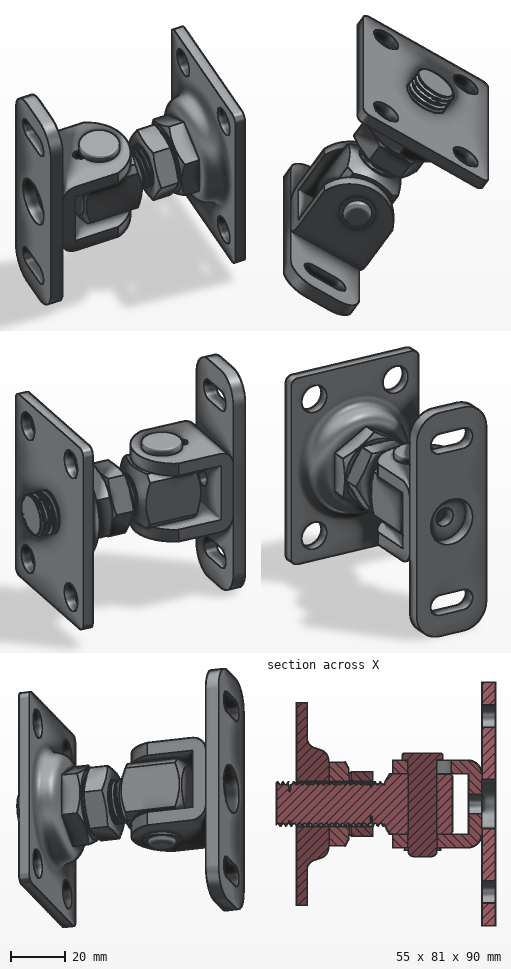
import cadquery as cq
import math

OVERALL_LENGTH = 81.0

STRIP_WIDTH = 30.1
STRIP_LENGTH = 90.0
STRIP_THICKNESS = 5.0
STRIP_CORNER_RADIUS = 10.0
STRIP_SLOT_LENGTH = 18.0
STRIP_SLOT_WIDTH = 8.1
STRIP_SLOT_SPACING = 65.0
STRIP_BORE_DIAMETER = 18.0

STRAP_THICKNESS = 5.0
CLEVIS_INNER_GAP = 22.3
CLEVIS_BEND_RADIUS = 0.4
CLEVIS_SIDE_END_Y = 27.7
CLEVIS_TIP_Y = 38.1
CLEVIS_WEB_HOLE_DIAMETER = 7.2
KEYWAY_WIDTH = 4.5
KEYWAY_END_OFFSET = 8.3

PIN_AXIS_Y = 27.0
PIN_RADIUS = 5.4
PIN_HEAD_RADIUS = 7.6
PIN_HEAD_HEIGHT = 2.6
PIN_HEAD_FILLET = 0.9
PIN_TAIL_LENGTH = 3.3
PIN_TAIL_FILLET = 2.25
RING_RADIUS = 6.75
RING_THICKNESS = 0.9

EYE_SIZE = CLEVIS_INNER_GAP
EYE_EDGE_CHAMFER = 2.5
EYE_FRONT_Y = 15.9
EYE_BACK_Y = 41.0
EYE_FRONT_FACE_RADIUS = 10.2
EYE_BACK_FACE_RADIUS = 8.0
EYE_CONE_ANGLE = 30.0
THREAD_ROOT_RADIUS = 7.2
THREAD_CREST_RADIUS = 8.3
THREAD_TURNS = 20
THREAD_TOOTH_BASE = 1.8
THREAD_EMBED = 0.2

HEX_SIDES = 6
LOCK_NUT_ACROSS_FLATS = 23.9
LOCK_NUT_CORNER_ANGLE = 0.0
LOCK_NUT_FACE_RADIUS = 11.8
LOCK_NUT_CHAMFER_ANGLE = 15.0
LOCK_NUT_THICKNESS = 8.1
LOCK_NUT_FRONT_Y = 45.3
WASHER_RADIUS = 11.5
WASHER_THICKNESS = 0.8
BASE_NUT_ACROSS_FLATS = 27.0
BASE_NUT_CORNER_ANGLE = 90.0
BASE_NUT_FACE_RADIUS = 13.1
BASE_NUT_CHAMFER_ANGLE = 30.0

BASE_WIDTH = 55.0
BASE_LENGTH = 75.0
BASE_THICKNESS = 4.05
BASE_FRONT_Y = 69.6
BASE_CORNER_RADIUS = 3.0
BASE_HOLE_DIAMETER = 10.7
BASE_HOLE_SPACING_X = 35.0
BASE_HOLE_SPACING_Z = 55.0
DOME_HEIGHT = 8.0
DOME_BASE_RADIUS = 21.7
DOME_TOP_RADIUS = 19.2
DOME_BASE_FILLET = 3.7
DOME_TOP_FILLET = 4.6

CLEVIS_HALF_HEIGHT = CLEVIS_INNER_GAP / 2 + STRAP_THICKNESS
CLEVIS_BACK_OF_WEB_Y = STRIP_THICKNESS + STRAP_THICKNESS
STUD_LENGTH = OVERALL_LENGTH - EYE_BACK_Y
THREAD_PITCH = STUD_LENGTH / THREAD_TURNS
WASHER_FRONT_Y = LOCK_NUT_FRONT_Y + LOCK_NUT_THICKNESS
BASE_NUT_FRONT_Y = WASHER_FRONT_Y + WASHER_THICKNESS
DOME_TOP_Y = BASE_FRONT_Y - DOME_HEIGHT
BASE_NUT_THICKNESS = DOME_TOP_Y - BASE_NUT_FRONT_Y


def facing_back(y):
    """Workplane across the long axis at y; local x is -X, local y is Z and extrusion runs toward +Y."""
    return cq.Workplane(cq.Plane(origin=(0, y, 0), xDir=(-1, 0, 0), normal=(0, 1, 0)))


def level(z):
    """Workplane across the pin axis at height z."""
    return cq.Workplane("XY", origin=(0, PIN_AXIS_Y, z))


def turned(profile):
    """Solid of revolution about the Y axis from (radius, y) points."""
    return cq.Workplane("XY").polyline(profile).close().revolve(360, (0, 0, 0), (0, 1, 0))


def stud_bore(y, length):
    """Clearance cylinder that just touches the thread crests."""
    return facing_back(y).circle(THREAD_CREST_RADIUS).extrude(length)


def make_strip():
    strip = facing_back(0).rect(STRIP_WIDTH, STRIP_LENGTH).extrude(STRIP_THICKNESS)
    strip = strip.edges("|Y").fillet(STRIP_CORNER_RADIUS)
    slots = (
        facing_back(0)
        .pushPoints([(0, -STRIP_SLOT_SPACING / 2), (0, STRIP_SLOT_SPACING / 2)])
        .slot2D(STRIP_SLOT_LENGTH, STRIP_SLOT_WIDTH)
        .extrude(STRIP_THICKNESS)
    )
    bore = facing_back(0).circle(STRIP_BORE_DIAMETER / 2).extrude(STRIP_THICKNESS)
    return strip.cut(slots).cut(bore)


def make_clevis():
    half_width = STRIP_WIDTH / 2
    outline = (
        cq.Workplane("XY", origin=(0, 0, -CLEVIS_HALF_HEIGHT))
        .moveTo(-half_width, STRIP_THICKNESS)
        .lineTo(half_width, STRIP_THICKNESS)
        .lineTo(half_width, CLEVIS_SIDE_END_Y)
        .threePointArc((0, CLEVIS_TIP_Y), (-half_width, CLEVIS_SIDE_END_Y))
        .close()
        .extrude(2 * CLEVIS_HALF_HEIGHT)
    )
    outline = outline.faces("<Y").edges("|X").fillet(CLEVIS_BEND_RADIUS + STRAP_THICKNESS)
    gap_length = CLEVIS_TIP_Y - CLEVIS_BACK_OF_WEB_Y
    gap = facing_back(CLEVIS_BACK_OF_WEB_Y).rect(STRIP_WIDTH, CLEVIS_INNER_GAP).extrude(gap_length)
    gap = gap.faces("<Y").edges("|X").fillet(CLEVIS_BEND_RADIUS)
    web_hole = facing_back(STRIP_THICKNESS).circle(CLEVIS_WEB_HOLE_DIAMETER / 2).extrude(STRAP_THICKNESS)
    pin_hole = level(-CLEVIS_HALF_HEIGHT).circle(PIN_RADIUS).extrude(2 * CLEVIS_HALF_HEIGHT)
    keyway = (
        level(CLEVIS_INNER_GAP / 2)
        .center(0, -KEYWAY_END_OFFSET / 2)
        .slot2D(KEYWAY_END_OFFSET + KEYWAY_WIDTH, KEYWAY_WIDTH, 90)
        .extrude(STRAP_THICKNESS)
    )
    return outline.cut(gap).cut(web_hole).cut(pin_hole).cut(keyway)


def make_pin():
    shank_length = 2 * CLEVIS_HALF_HEIGHT + PIN_TAIL_LENGTH
    shank = level(-CLEVIS_HALF_HEIGHT - PIN_TAIL_LENGTH).circle(PIN_RADIUS).extrude(shank_length)
    shank = shank.faces("<Z").edges().fillet(PIN_TAIL_FILLET)
    head = level(CLEVIS_HALF_HEIGHT).circle(PIN_HEAD_RADIUS).extrude(PIN_HEAD_HEIGHT)
    head = head.faces(">Z").edges().fillet(PIN_HEAD_FILLET)
    return shank.union(head)


def make_retaining_ring():
    ring_bottom = -CLEVIS_HALF_HEIGHT - RING_THICKNESS
    return level(ring_bottom).circle(RING_RADIUS).circle(PIN_RADIUS).extrude(RING_THICKNESS)


def make_eye():
    length = EYE_BACK_Y - EYE_FRONT_Y
    block = facing_back(EYE_FRONT_Y).rect(EYE_SIZE, EYE_SIZE).extrude(length)
    block = block.edges("|Y").chamfer(EYE_EDGE_CHAMFER)
    slope = math.tan(math.radians(EYE_CONE_ANGLE))
    front_cone = (EYE_SIZE - EYE_FRONT_FACE_RADIUS) * slope
    back_cone = (EYE_SIZE - EYE_BACK_FACE_RADIUS) * slope
    envelope = turned([
        (0, EYE_FRONT_Y),
        (EYE_FRONT_FACE_RADIUS, EYE_FRONT_Y),
        (EYE_SIZE, EYE_FRONT_Y + front_cone),
        (EYE_SIZE, EYE_BACK_Y - back_cone),
        (EYE_BACK_FACE_RADIUS, EYE_BACK_Y),
        (0, EYE_BACK_Y),
    ])
    pin_hole = level(-EYE_SIZE / 2).circle(PIN_RADIUS).extrude(EYE_SIZE)
    return block.intersect(envelope).cut(pin_hole)


def make_thread():
    """Right-hand helical tooth about Z, one pitch longer than the stud at each end."""
    tooth_base_radius = THREAD_ROOT_RADIUS - THREAD_EMBED
    helix = cq.Wire.makeHelix(THREAD_PITCH, STUD_LENGTH + 2 * THREAD_PITCH, tooth_base_radius)
    tooth = (
        cq.Workplane("XZ")
        .moveTo(tooth_base_radius, -THREAD_TOOTH_BASE / 2)
        .lineTo(THREAD_CREST_RADIUS, 0)
        .lineTo(tooth_base_radius, THREAD_TOOTH_BASE / 2)
        .close()
    )
    return tooth.sweep(cq.Workplane(helix), isFrenet=True).translate((0, 0, -THREAD_PITCH))


def make_stud():
    core = cq.Workplane("XY").circle(THREAD_ROOT_RADIUS).extrude(STUD_LENGTH)
    trim = cq.Workplane("XY").circle(2 * THREAD_CREST_RADIUS).extrude(STUD_LENGTH)
    stud = core.union(make_thread().intersect(trim))
    return stud.rotate((0, 0, 0), (1, 0, 0), -90).translate((0, EYE_BACK_Y, 0))


def make_eye_bolt():
    return make_eye().union(make_stud())


def make_nut(y, thickness, across_flats, corner_angle, face_radius, chamfer_angle, chamfer_back):
    """Hexagon nut from y toward +Y, turned conical on its front and, if asked, on its back."""
    corner_diameter = across_flats / math.cos(math.pi / HEX_SIDES)
    corner_radius = corner_diameter / 2
    cone = (corner_radius - face_radius) * math.tan(math.radians(chamfer_angle))
    back = y + thickness
    back_profile = [(corner_radius, back)]
    if chamfer_back:
        back_profile = [(corner_radius, back - cone), (face_radius, back)]
    envelope = turned([(0, y), (face_radius, y), (corner_radius, y + cone), *back_profile, (0, back)])
    hexagon = facing_back(y).polygon(HEX_SIDES, corner_diameter).extrude(thickness)
    hexagon = hexagon.rotate((0, 0, 0), (0, 1, 0), corner_angle)
    return hexagon.intersect(envelope).cut(stud_bore(y, thickness))


def make_washer():
    disc = facing_back(WASHER_FRONT_Y).circle(WASHER_RADIUS).extrude(WASHER_THICKNESS)
    return disc.cut(stud_bore(WASHER_FRONT_Y, WASHER_THICKNESS))


def make_base():
    plate = facing_back(BASE_FRONT_Y).rect(BASE_WIDTH, BASE_LENGTH).extrude(BASE_THICKNESS)
    plate = plate.edges("|Y").fillet(BASE_CORNER_RADIUS)
    holes = (
        facing_back(BASE_FRONT_Y)
        .rect(BASE_HOLE_SPACING_X, BASE_HOLE_SPACING_Z, forConstruction=True)
        .vertices()
        .circle(BASE_HOLE_DIAMETER / 2)
        .extrude(BASE_THICKNESS)
    )
    dome = turned([
        (0, DOME_TOP_Y),
        (DOME_TOP_RADIUS, DOME_TOP_Y),
        (DOME_BASE_RADIUS, BASE_FRONT_Y),
        (0, BASE_FRONT_Y),
    ])
    dome = dome.faces("<Y").edges().fillet(DOME_TOP_FILLET)
    base = plate.union(dome)
    at_foot = cq.selectors.BoxSelector(
        (-DOME_BASE_RADIUS, BASE_FRONT_Y - BASE_THICKNESS / 2, -DOME_BASE_RADIUS),
        (DOME_BASE_RADIUS, BASE_FRONT_Y + BASE_THICKNESS / 2, DOME_BASE_RADIUS),
    )
    base = base.edges("%CIRCLE").edges(at_foot).fillet(DOME_BASE_FILLET)
    return base.cut(holes).cut(stud_bore(DOME_TOP_Y, DOME_HEIGHT + BASE_THICKNESS))


strip = make_strip()
clevis = make_clevis()
pin = make_pin()
retaining_ring = make_retaining_ring()
eye_bolt = make_eye_bolt()
lock_nut = make_nut(
    LOCK_NUT_FRONT_Y, LOCK_NUT_THICKNESS, LOCK_NUT_ACROSS_FLATS, LOCK_NUT_CORNER_ANGLE,
    LOCK_NUT_FACE_RADIUS, LOCK_NUT_CHAMFER_ANGLE, chamfer_back=True,
)
washer = make_washer()
base_nut = make_nut(
    BASE_NUT_FRONT_Y, BASE_NUT_THICKNESS, BASE_NUT_ACROSS_FLATS, BASE_NUT_CORNER_ANGLE,
    BASE_NUT_FACE_RADIUS, BASE_NUT_CHAMFER_ANGLE, chamfer_back=False,
)
base = make_base()

result = cq.Compound.makeCompound([
    strip.val(),
    clevis.val(),
    pin.val(),
    retaining_ring.val(),
    eye_bolt.val(),
    lock_nut.val(),
    washer.val(),
    base_nut.val(),
    base.val(),
])